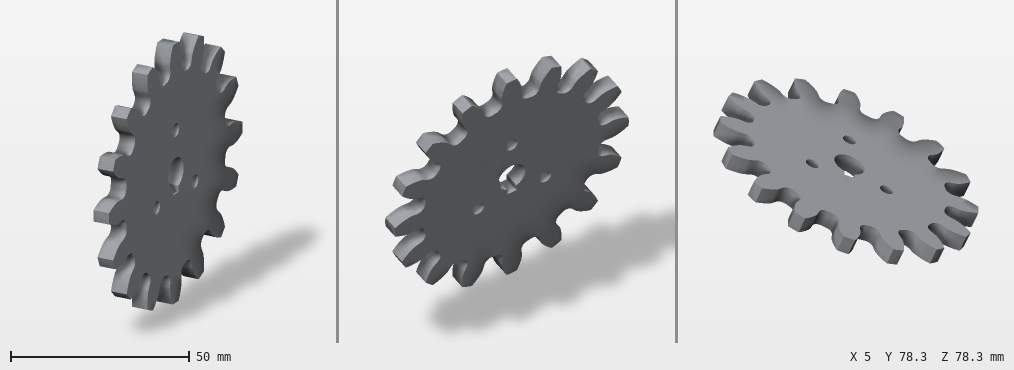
import cadquery as cq
import math

thickness = 5.0
tooth_count = 16
gear_module = 4.35
pressure_angle = math.radians(14.5)
dedendum_factor = 1.2
root_fillet_radius = 2.4
backlash = 0.2
involute_steps = 6

pitch_radius = gear_module * tooth_count / 2
tip_radius = pitch_radius + gear_module
root_radius = pitch_radius - dedendum_factor * gear_module
base_radius = pitch_radius * math.cos(pressure_angle)

bore_diameter = 9.1
keyway_width = 3.1
keyway_reach = 6.25

mounting_hole_count = 3
mounting_hole_diameter = 3.9
mounting_circle_radius = 13.0


def roll_angle(radius):
    """Roll of the involute from the base circle out to a radius."""
    return math.sqrt((radius / base_radius) ** 2 - 1)


def involute_angle(radius):
    """Polar angle swept by the involute from the base circle out to a radius."""
    roll = roll_angle(radius)
    return roll - math.atan(roll)


tooth_pitch = 2 * math.pi / tooth_count
pitch_half_angle = tooth_pitch / 4 - backlash / (2 * pitch_radius)
base_half_angle = pitch_half_angle + involute_angle(pitch_radius)

fillet_centre_radius = root_radius + root_fillet_radius
fillet_angle = math.asin(root_fillet_radius / fillet_centre_radius)
fillet_top_radius = fillet_centre_radius * math.cos(fillet_angle)
fillet_centre_angle = base_half_angle + fillet_angle


def polar(radius, angle):
    """Point in the YZ plane at an angle from +Z towards +Y."""
    return (radius * math.sin(angle), radius * math.cos(angle))


def fillet_middle(centre_angle, side):
    """Middle of a root fillet arc; side is +1 past the tooth and -1 before it."""
    centre_y, centre_z = polar(fillet_centre_radius, centre_angle)
    facing_flank = centre_angle - side * (fillet_angle + math.pi / 2)
    facing_axis = centre_angle - side * math.pi
    offset_y, offset_z = polar(root_fillet_radius, (facing_flank + facing_axis) / 2)
    return (centre_y + offset_y, centre_z + offset_z)


def flank_points(tooth_angle, side):
    """Involute points of one flank, from the base circle out to the tip."""
    points = []
    for step in range(involute_steps + 1):
        roll = roll_angle(tip_radius) * step / involute_steps
        radius = base_radius * math.hypot(1, roll)
        angle = base_half_angle - involute_angle(radius)
        points.append(polar(radius, tooth_angle + side * angle))
    return points


def add_tooth(outline, tooth_angle):
    """Continue the outline over one tooth and along the root to the next."""
    centre_before = tooth_angle - fillet_centre_angle
    centre_after = tooth_angle + fillet_centre_angle
    next_fillet = tooth_angle + tooth_pitch - fillet_centre_angle
    rising = flank_points(tooth_angle, -1)
    falling = flank_points(tooth_angle, 1)[::-1]

    outline = outline.threePointArc(
        fillet_middle(centre_before, -1),
        polar(fillet_top_radius, tooth_angle - base_half_angle),
    )
    outline = outline.lineTo(*rising[0])
    outline = outline.spline(rising[1:], includeCurrent=True)
    outline = outline.threePointArc(polar(tip_radius, tooth_angle), falling[0])
    outline = outline.spline(falling[1:], includeCurrent=True)
    outline = outline.lineTo(*polar(fillet_top_radius, tooth_angle + base_half_angle))
    outline = outline.threePointArc(
        fillet_middle(centre_after, 1),
        polar(root_radius, centre_after),
    )
    return outline.threePointArc(
        polar(root_radius, tooth_angle + tooth_pitch / 2),
        polar(root_radius, next_fillet),
    )


def make_gear():
    outline = cq.Workplane("YZ").moveTo(*polar(root_radius, -fillet_centre_angle))
    for tooth in range(tooth_count):
        outline = add_tooth(outline, tooth * tooth_pitch)
    return outline.close().extrude(thickness)


def make_keyed_bore():
    bore = cq.Workplane("YZ").circle(bore_diameter / 2).extrude(thickness)
    keyway = (
        cq.Workplane("YZ")
        .center(0, -keyway_reach / 2)
        .rect(keyway_width, keyway_reach)
        .extrude(thickness)
    )
    return bore.union(keyway)


def make_mounting_holes():
    hole_pitch = 2 * math.pi / mounting_hole_count
    centres = [
        polar(mounting_circle_radius, hole * hole_pitch)
        for hole in range(mounting_hole_count)
    ]
    return (
        cq.Workplane("YZ")
        .pushPoints(centres)
        .circle(mounting_hole_diameter / 2)
        .extrude(thickness)
    )


result = make_gear().cut(make_keyed_bore()).cut(make_mounting_holes())